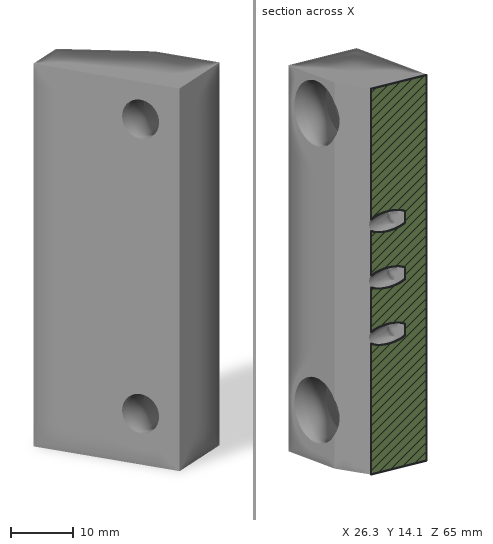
import cadquery as cq

width = 26.3
depth = 14.1
height = 65.0
edge_depth = 8.0
slope_end_x = 14.7

mount_x = 19.3
mount_heights = (8.65, 58.6)
mount_diameter = 6.6
counterbore_diameter = 11.0
counterbore_depth = 6.5

small_diameter = 3.25
small_depth = 6.5
small_pitch = 9.5
small_y = (edge_depth + depth) / 2


def make_block():
    profile = [
        (0, 0),
        (width, 0),
        (width, depth),
        (slope_end_x, depth),
        (0, edge_depth),
    ]
    return cq.Workplane("XY").polyline(profile).close().extrude(height)


def make_mount_hole(z):
    back_face = cq.Workplane("XZ", origin=(mount_x, depth, z))
    through = back_face.circle(mount_diameter / 2).extrude(depth)
    counterbore = back_face.circle(counterbore_diameter / 2).extrude(counterbore_depth)
    return through.union(counterbore)


def make_small_hole(z):
    slope_rise = depth - edge_depth
    x = slope_end_x * (small_y - edge_depth) / slope_rise
    inward = cq.Vector(slope_rise, -slope_end_x, 0).normalized()
    start = cq.Vector(x, small_y, z)
    overshoot = small_diameter / 2
    return cq.Workplane(
        cq.Solid.makeCylinder(
            small_diameter / 2,
            small_depth + overshoot,
            start - inward * overshoot,
            inward,
        )
    )


result = make_block()
for mount_z in mount_heights:
    result = result.cut(make_mount_hole(mount_z))
for step in (-1, 0, 1):
    result = result.cut(make_small_hole(height / 2 + step * small_pitch))